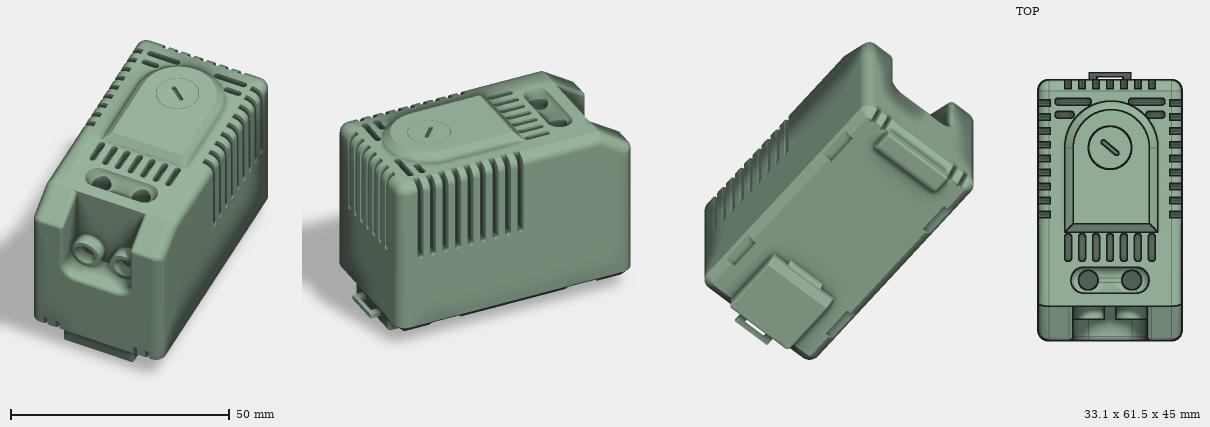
import cadquery as cq
import math


WIDTH = 33.05
LENGTH = 59.85
HEIGHT = 40.2
CORNER_RADIUS = 2.5
BASE_CHAMFER = 2.0
SLOPE_LENGTH = 7.9
SLOPE_DROP = 5.1
FRONT_RADIUS = 1.0

NOTCH_WIDTH = 16.95
NOTCH_FLOOR = 20.0
NOTCH_CORNER_RADIUS = 3.5
TERMINAL_X = NOTCH_WIDTH / 2 - NOTCH_CORNER_RADIUS
TERMINAL_Z = NOTCH_FLOOR + NOTCH_CORNER_RADIUS
TUBE_DIAMETER = 7.4
TUBE_BORE = 5.2
TUBE_LENGTH = 3.0

RECESS_Y = 13.9
RECESS_LENGTH = 18.0
RECESS_WIDTH = 6.1
RECESS_DEPTH = 2.0
RECESS_FLOOR_RADIUS = 2.5
SCREW_HOLE_DIAMETER = 4.5
SCREW_HOLE_DEPTH = 9.85

VENT_PITCH = 3.2
TOP_VENT_COUNT = 7
TOP_VENT_WIDTH = 1.6
TOP_VENT_LENGTH = 6.4
TOP_VENT_DEPTH = 3.0
TOP_VENT_Y = 21.4
REAR_VENT_DEPTH = 3.0
REAR_VENT_FLOOR_RADIUS = 0.6
REAR_VENT_OUTER_X = 12.6
REAR_VENT_Y = LENGTH - 5.05
REAR_VENT_LENGTH = 8.3
SHORT_VENT_Y = LENGTH - 8.05
SHORT_VENT_LENGTH = 4.35
GROOVE_WIDTH = 1.5
GROOVE_BOTTOM_Z = 20.0
GROOVE_END_RADIUS = 0.7
SIDE_GROOVE_COUNT = 9
SIDE_GROOVE_DEPTH = 2.8
SIDE_GROOVE_LAST_Y = LENGTH - 5.35
BACK_GROOVE_COUNT = 7
BACK_GROOVE_DEPTH = 2.1

SIDE_OPENING_LENGTH = 8.0
SIDE_OPENING_HEIGHT = 1.35
SIDE_OPENING_DEPTH = 3.0
SIDE_OPENING_END_GAP = 8.55
FRONT_SLOT_WIDTH = 1.3
FRONT_SLOT_HEIGHT = 4.05
FRONT_SLOT_DEPTH = 3.0
FRONT_SLOT_XS = (9.85, 12.85)

BEZEL_HEIGHT = 1.85
BEZEL_CENTER_X = 0.3
BEZEL_RADIUS = 10.7
BEZEL_BEVEL = 1.95
BEZEL_FRONT_Y = 24.9
KNOB_Y = 44.25

KNOB_DIAMETER = 9.8
KNOB_SEAT_DIAMETER = 9.95
KNOB_HEIGHT = 3.0
KNOB_SLOT_LENGTH = 5.0
KNOB_SLOT_WIDTH = 1.0
KNOB_SLOT_DEPTH = 1.0
KNOB_SLOT_ANGLE = -40

FOOT_WIDTH = 17.7
FOOT_HEIGHT = 2.95
FOOT_EDGE_RADIUS = 0.5
HOOK_FRONT_Y = 1.4
HOOK_STEP_Y = 5.1
HOOK_TIP_Y = 6.95
HOOK_GAP = 0.4
HOOK_TIP_RADIUS = 1.95
GUIDE_BACK_Y = LENGTH - 1.05
GUIDE_FRONT_Y = LENGTH - 17.15
GUIDE_SLOPE_LENGTH = 2.1
GUIDE_SLOPE_RISE = 1.0
GUIDE_CORNER_RADIUS = 1.0

LATCH_WIDTH = 9.5
LATCH_THICKNESS = 1.05
LATCH_BACK_Y = 61.45
LATCH_TIP_LENGTH = 1.15
LATCH_NOSE_BASE = 0.35
LATCH_NOSE_DEPTH = 1.9
LATCH_EYE_WIDTH = 5.9
LATCH_EYE_MARGIN = 1.0

TOP_Z = HEIGHT + BEZEL_HEIGHT


def side_profile(points, width):
    """Extrude an outline of (Y, Z) points to the given width, centred on X = 0."""
    return cq.Workplane("YZ").polyline(points).close().extrude(width / 2, both=True)


def slot_prism(length, width, depth, angle=0):
    """Upright slot-shaped prism rising from Z = 0."""
    return cq.Workplane("XY").slot2D(length, width, angle).extrude(depth)


def spaced(count, pitch):
    """Positions centred on zero."""
    return [pitch * (i - (count - 1) / 2) for i in range(count)]


def lies_on_upper_rim(edge):
    """True for the back and side edges of the top and slope, but not for edges across the slope."""
    middle = edge.Center()
    runs_along_x = edge.BoundingBox().xlen > WIDTH / 2
    return middle.z > HEIGHT - SLOPE_DROP and (middle.y > LENGTH / 2 or not runs_along_x)


def make_block():
    """Rounded block with a sloped upper front edge and a chamfered base."""
    slope_foot_z = HEIGHT - SLOPE_DROP
    block = side_profile(
        [(0, 0), (LENGTH, 0), (LENGTH, HEIGHT), (SLOPE_LENGTH, HEIGHT), (0, slope_foot_z)],
        WIDTH,
    )
    rounded_edges = block.edges("|Z").add(block.edges().filter(lies_on_upper_rim))
    block = rounded_edges.fillet(CORNER_RADIUS)
    slope_foot = cq.selectors.NearestToPointSelector((0, 0, slope_foot_z))
    block = block.edges(slope_foot).fillet(FRONT_RADIUS)
    return block.faces("<Z").chamfer(BASE_CHAMFER)


def cut_wiring_notch(body):
    """Cut the notch with its rounded floor corners, then round the rim of its mouth."""
    notch = (
        cq.Workplane("XY")
        .box(NOTCH_WIDTH, SLOPE_LENGTH, HEIGHT, centered=(True, False, False))
        .edges("|Y and <Z")
        .fillet(NOTCH_CORNER_RADIUS)
        .translate((0, 0, NOTCH_FLOOR))
    )
    body = body.cut(notch)
    mouth_floor = cq.selectors.NearestToPointSelector((0, 0, NOTCH_FLOOR))
    return body.edges(mouth_floor).fillet(FRONT_RADIUS)


def add_terminal_tubes(body):
    """Two tubes standing on the back wall of the notch, open down to that wall."""
    for x in (-TERMINAL_X, TERMINAL_X):
        wall_point = cq.Workplane("XZ", origin=(x, SLOPE_LENGTH, TERMINAL_Z))
        body = body.union(wall_point.circle(TUBE_DIAMETER / 2).extrude(TUBE_LENGTH))
        body = body.cut(wall_point.circle(TUBE_BORE / 2).extrude(TUBE_LENGTH))
    return body


def cut_screw_recess(body):
    """Slot-shaped recess with a rounded floor and a screw hole above each terminal."""
    recess = slot_prism(RECESS_LENGTH, RECESS_WIDTH, 2 * RECESS_FLOOR_RADIUS)
    recess = recess.faces("<Z").edges().fillet(RECESS_FLOOR_RADIUS)
    body = body.cut(recess.translate((0, RECESS_Y, HEIGHT - RECESS_DEPTH)))
    for x in (-TERMINAL_X, TERMINAL_X):
        hole = cq.Workplane("XY", origin=(x, RECESS_Y, HEIGHT)).circle(SCREW_HOLE_DIAMETER / 2)
        body = body.cut(hole.extrude(-SCREW_HOLE_DEPTH))
    return body


def cut_top_vents(body):
    """A row of slots in front of the bezel and two pairs of round-floored slots behind it."""
    slot = slot_prism(TOP_VENT_LENGTH, TOP_VENT_WIDTH, TOP_VENT_DEPTH, 90)
    for x in spaced(TOP_VENT_COUNT, VENT_PITCH):
        body = body.cut(slot.translate((x, TOP_VENT_Y, HEIGHT - TOP_VENT_DEPTH)))
    for length, y in ((REAR_VENT_LENGTH, REAR_VENT_Y), (SHORT_VENT_LENGTH, SHORT_VENT_Y)):
        slot = slot_prism(length, TOP_VENT_WIDTH, REAR_VENT_DEPTH)
        slot = slot.faces("<Z").edges().fillet(REAR_VENT_FLOOR_RADIUS)
        for side in (-1, 1):
            x = side * (REAR_VENT_OUTER_X - length / 2)
            body = body.cut(slot.translate((x, y, HEIGHT - REAR_VENT_DEPTH)))
    return body


def groove_cutter(depth):
    """Upright groove running out at the top, reaching depth to both sides of X = 0."""
    groove = cq.Workplane("XY").box(2 * depth, GROOVE_WIDTH, HEIGHT, centered=(True, True, False))
    groove = groove.edges("|X and <Z").fillet(GROOVE_END_RADIUS)
    return groove.translate((0, 0, GROOVE_BOTTOM_Z))


def cut_wall_grooves(body):
    """Ventilation grooves down both sides and the back."""
    side_groove = groove_cutter(SIDE_GROOVE_DEPTH)
    for i in range(SIDE_GROOVE_COUNT):
        y = SIDE_GROOVE_LAST_Y - i * VENT_PITCH
        for x in (-WIDTH / 2, WIDTH / 2):
            body = body.cut(side_groove.translate((x, y, 0)))
    back_groove = groove_cutter(BACK_GROOVE_DEPTH).rotate((0, 0, 0), (0, 0, 1), 90)
    for x in spaced(BACK_GROOVE_COUNT, VENT_PITCH):
        body = body.cut(back_groove.translate((x, LENGTH, 0)))
    return body


def cut_base_openings(body):
    """Two openings in the lower edge of each side and four round-ended slots in the front."""
    opening = cq.Workplane("XY").box(
        2 * SIDE_OPENING_DEPTH, SIDE_OPENING_LENGTH, SIDE_OPENING_HEIGHT, centered=(True, True, False)
    )
    end_distance = SIDE_OPENING_END_GAP + SIDE_OPENING_LENGTH / 2
    for x in (-WIDTH / 2, WIDTH / 2):
        for y in (end_distance, LENGTH - end_distance):
            body = body.cut(opening.translate((x, y, 0)))
    front_slot = slot_prism(2 * FRONT_SLOT_DEPTH, FRONT_SLOT_WIDTH, FRONT_SLOT_HEIGHT, 90)
    for distance in FRONT_SLOT_XS:
        for x in (-distance, distance):
            body = body.cut(front_slot.translate((x, 0, 0)))
    return body


def add_bezel(body):
    """Bevelled arch on the top with the round seat for the knob."""
    left = BEZEL_CENTER_X - BEZEL_RADIUS
    right = BEZEL_CENTER_X + BEZEL_RADIUS
    bezel = (
        cq.Workplane("XY", origin=(0, 0, HEIGHT))
        .moveTo(left, BEZEL_FRONT_Y)
        .lineTo(right, BEZEL_FRONT_Y)
        .lineTo(right, KNOB_Y)
        .threePointArc((BEZEL_CENTER_X, KNOB_Y + BEZEL_RADIUS), (left, KNOB_Y))
        .close()
        .extrude(BEZEL_HEIGHT, taper=math.degrees(math.atan2(BEZEL_BEVEL, BEZEL_HEIGHT)))
    )
    seat = cq.Workplane("XY", origin=(0, KNOB_Y, TOP_Z)).circle(KNOB_SEAT_DIAMETER / 2)
    return body.union(bezel).cut(seat.extrude(-KNOB_HEIGHT))


def make_hook():
    """Fixed rail hook at the front, its top meeting the base chamfer."""
    hook = (
        cq.Workplane("YZ")
        .moveTo(HOOK_FRONT_Y, BASE_CHAMFER - HOOK_FRONT_Y)
        .lineTo(HOOK_FRONT_Y, -FOOT_HEIGHT)
        .lineTo(HOOK_TIP_Y - HOOK_TIP_RADIUS, -FOOT_HEIGHT)
        .radiusArc((HOOK_TIP_Y, HOOK_TIP_RADIUS - FOOT_HEIGHT), -HOOK_TIP_RADIUS)
        .lineTo(HOOK_TIP_Y, -HOOK_GAP)
        .lineTo(HOOK_STEP_Y, -HOOK_GAP)
        .lineTo(HOOK_STEP_Y, BASE_CHAMFER - HOOK_FRONT_Y)
        .close()
        .extrude(FOOT_WIDTH / 2, both=True)
    )
    front_edges = hook.edges("<Y").edges("not >Z")
    return front_edges.add(hook.faces("<Z").edges("|Y")).fillet(FOOT_EDGE_RADIUS)


def make_latch_guide():
    """Rear foot that the latch slides through, its top meeting the base chamfer."""
    top_z = GUIDE_BACK_Y - (LENGTH - BASE_CHAMFER)
    slope_z = GUIDE_SLOPE_RISE - FOOT_HEIGHT
    guide = side_profile(
        [
            (GUIDE_BACK_Y, top_z),
            (GUIDE_BACK_Y, -FOOT_HEIGHT),
            (GUIDE_FRONT_Y + GUIDE_SLOPE_LENGTH, -FOOT_HEIGHT),
            (GUIDE_FRONT_Y, slope_z),
            (GUIDE_FRONT_Y, 0),
            (LENGTH - BASE_CHAMFER, 0),
        ],
        FOOT_WIDTH,
    )
    guide = guide.edges("|Z and >Y").fillet(GUIDE_CORNER_RADIUS)
    slope_middle = (0, GUIDE_FRONT_Y + GUIDE_SLOPE_LENGTH / 2, slope_z - GUIDE_SLOPE_RISE / 2)
    slope_face = guide.faces(cq.selectors.NearestToPointSelector(slope_middle))
    rounded_edges = guide.faces("<Z").edges("not (|X and <Y)").add(slope_face.edges("not |X"))
    return rounded_edges.fillet(FOOT_EDGE_RADIUS)


def make_latch():
    """Flat slide with a pull eye at the back and a tapered nose in front of its guide."""
    nose_foot_y = GUIDE_FRONT_Y - LATCH_NOSE_BASE
    latch = side_profile(
        [
            (LATCH_BACK_Y, 0),
            (GUIDE_FRONT_Y - LATCH_TIP_LENGTH, 0),
            (nose_foot_y, -LATCH_NOSE_DEPTH),
            (GUIDE_FRONT_Y, -LATCH_NOSE_DEPTH),
            (GUIDE_FRONT_Y, -LATCH_THICKNESS),
            (LATCH_BACK_Y, -LATCH_THICKNESS),
        ],
        LATCH_WIDTH,
    )
    eye_length = LATCH_BACK_Y - LATCH_EYE_MARGIN - GUIDE_BACK_Y
    eye = cq.Workplane("XY", origin=(0, GUIDE_BACK_Y + eye_length / 2, 0))
    return latch.cut(eye.rect(LATCH_EYE_WIDTH, eye_length).extrude(-LATCH_THICKNESS))


def make_knob():
    """Round knob, flush with the bezel, with a screwdriver slot."""
    knob = cq.Workplane("XY").circle(KNOB_DIAMETER / 2).extrude(KNOB_HEIGHT)
    slot = slot_prism(KNOB_SLOT_LENGTH, KNOB_SLOT_WIDTH, KNOB_SLOT_DEPTH, KNOB_SLOT_ANGLE)
    knob = knob.cut(slot.translate((0, 0, KNOB_HEIGHT - KNOB_SLOT_DEPTH)))
    return knob.translate((0, KNOB_Y, TOP_Z - KNOB_HEIGHT))


def make_housing(latch):
    """Housing with its rail feet and the channel that holds the latch."""
    housing = cut_wiring_notch(make_block())
    housing = add_terminal_tubes(housing)
    housing = cut_screw_recess(housing)
    housing = cut_top_vents(housing)
    housing = cut_wall_grooves(housing)
    housing = cut_base_openings(housing)
    housing = add_bezel(housing)
    return housing.union(make_hook()).union(make_latch_guide()).cut(latch)


latch = make_latch()
housing = make_housing(latch)
knob = make_knob()

result = cq.Compound.makeCompound([housing.val(), knob.val(), latch.val()])